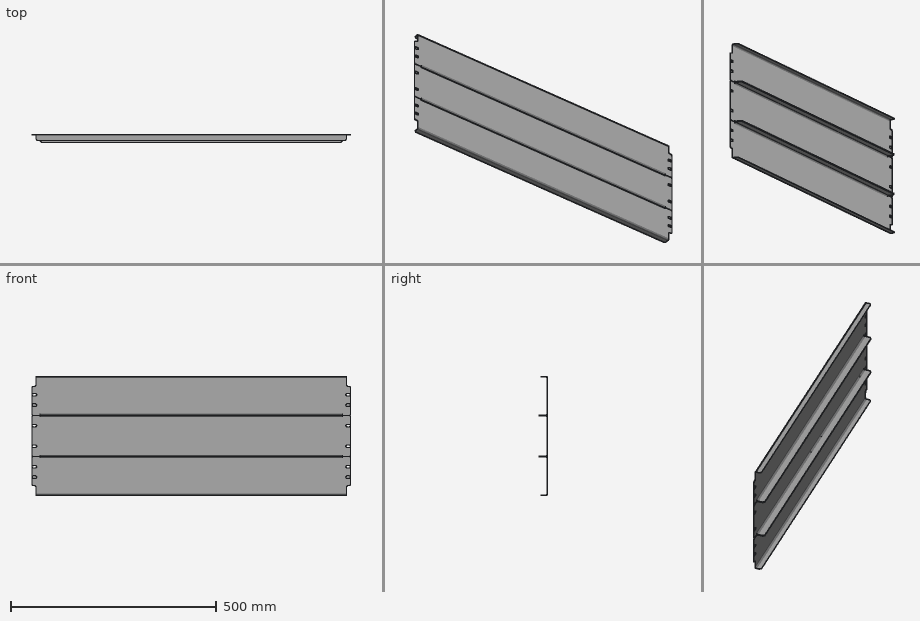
import cadquery as cq
import math

WALL_WIDTH = 776.5
WALL_HEIGHT = 290.0
WALL_DEPTH = 20.0
MIDDLE_HEIGHT = 100.0
SEAM_Z = MIDDLE_HEIGHT / 2
TOP_Z = WALL_HEIGHT / 2

SHEET = 1.5
INNER_BEND = SHEET
OUTER_BEND = INNER_BEND + SHEET
BACK_Y = WALL_DEPTH / 2
PLATE_Y = BACK_Y - SHEET

SEAM_FLANGE_DEPTH = WALL_DEPTH
SEAM_FLANGE_INSET = 20.0
EDGE_FLANGE_DEPTH = 15.5
EDGE_FLANGE_INSET = 10.0
FLANGE_CHAMFER = 4.0

SEAM_CHAMFER = 2.0
NOTCH_HEIGHT = 24.0
NOTCH_RADIUS = 4.0

SLOT_LENGTH = 11.0
SLOT_HEIGHT = 5.5
SLOT_EDGE_GAP = 1.0
SLOT_X = WALL_WIDTH / 2 - SLOT_EDGE_GAP - SLOT_LENGTH / 2
MIDDLE_SLOT_Z = MIDDLE_HEIGHT / 4
OUTER_SLOTS_Z = (3 * MIDDLE_SLOT_Z, 4 * MIDDLE_SLOT_Z)


def plate(width, bottom_z, top_z):
    """Flat sheet between two heights, centred on X = 0."""
    return (
        cq.Workplane("XY")
        .box(width, SHEET, top_z - bottom_z)
        .translate((0, BACK_Y - SHEET / 2, (bottom_z + top_z) / 2))
    )


def flange(depth, inset, edge_z, inward):
    """Bend and flange along the plate edge at edge_z; inward is the Z direction into the panel."""
    length = WALL_WIDTH - 2 * inset
    tip_y = BACK_Y - depth
    bend_y = BACK_Y - OUTER_BEND
    bend_z = edge_z + inward * OUTER_BEND
    inner_z = edge_z + inward * SHEET
    diagonal = math.sqrt(0.5)
    outer_mid = (bend_y + OUTER_BEND * diagonal, bend_z - inward * OUTER_BEND * diagonal)
    inner_mid = (bend_y + INNER_BEND * diagonal, bend_z - inward * INNER_BEND * diagonal)
    folded = (
        cq.Workplane("YZ")
        .moveTo(tip_y, edge_z)
        .lineTo(bend_y, edge_z)
        .threePointArc(outer_mid, (BACK_Y, bend_z))
        .lineTo(PLATE_Y, bend_z)
        .threePointArc(inner_mid, (bend_y, inner_z))
        .lineTo(tip_y, inner_z)
        .close()
        .extrude(length / 2, both=True)
    )
    return folded.edges("|Z and <Y").chamfer(FLANGE_CHAMFER)


def fold(panel, depth, inset, edge_z, inward):
    """Replace the edge of a panel's plate by a bend and a flange."""
    bend_z = edge_z + inward * OUTER_BEND
    strip = plate(WALL_WIDTH - 2 * inset, min(edge_z, bend_z), max(edge_z, bend_z))
    return panel.cut(strip).union(flange(depth, inset, edge_z, inward))


def cut_slots(panel, heights):
    """Cut the slots near both ends of a panel at the given Z heights."""
    places = [(side * SLOT_X, z) for side in (-1, 1) for z in heights]
    slots = (
        cq.Workplane("XZ")
        .pushPoints(places)
        .slot2D(SLOT_LENGTH, SLOT_HEIGHT)
        .extrude(WALL_DEPTH, both=True)
    )
    return panel.cut(slots)


def make_middle_panel():
    """Panel with a deep flange along both seams."""
    panel = plate(WALL_WIDTH, -SEAM_Z, SEAM_Z).edges("|Y").chamfer(SEAM_CHAMFER)
    for side in (-1, 1):
        panel = fold(panel, SEAM_FLANGE_DEPTH, SEAM_FLANGE_INSET, side * SEAM_Z, -side)
    return cut_slots(panel, (-MIDDLE_SLOT_Z, MIDDLE_SLOT_Z))


def make_upper_panel():
    """Panel with a deep flange at its seam and a shallow one between two notches at its top."""
    shoulder_z = TOP_Z - NOTCH_HEIGHT
    narrow_width = WALL_WIDTH - 2 * EDGE_FLANGE_INSET
    wide_part = (
        plate(WALL_WIDTH, SEAM_Z, shoulder_z)
        .edges("|Y and <Z")
        .chamfer(SEAM_CHAMFER)
        .edges("|Y and >Z")
        .fillet(NOTCH_RADIUS)
    )
    panel = wide_part.union(plate(narrow_width, shoulder_z, TOP_Z))
    inner_corners = cq.selectors.BoxSelector(
        (-narrow_width / 2 - SHEET, -WALL_DEPTH, shoulder_z - SHEET),
        (narrow_width / 2 + SHEET, WALL_DEPTH, shoulder_z + SHEET),
    )
    panel = panel.edges("|Y").edges(inner_corners).fillet(NOTCH_RADIUS)
    panel = fold(panel, SEAM_FLANGE_DEPTH, SEAM_FLANGE_INSET, SEAM_Z, 1)
    panel = fold(panel, EDGE_FLANGE_DEPTH, EDGE_FLANGE_INSET, TOP_Z, -1)
    return cut_slots(panel, OUTER_SLOTS_Z)


middle_panel = make_middle_panel()
upper_panel = make_upper_panel()
lower_panel = upper_panel.mirror("XY")
result = cq.Compound.makeCompound([middle_panel.val(), upper_panel.val(), lower_panel.val()])